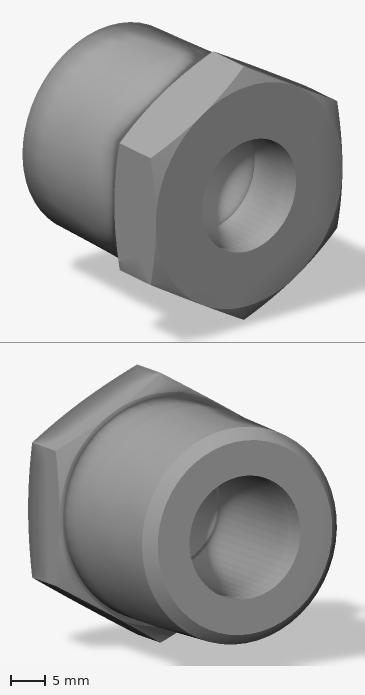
import cadquery as cq
import math

total_length = 34.8
hex_length = 9.8
taper_end = 17.35
nose_length = 1.75
hex_start = total_length - hex_length

nose_radius = 14.5
taper_small_radius = 16.2
body_radius = 16.7

hex_across_corners = 40.35
hex_corner_radius = hex_across_corners / 2
hex_flat_radius = hex_corner_radius * math.cos(math.radians(30))
corner_chamfer_length = 1.25

bore_mouth_radius = 9.25
bore_head_radius = 8.8
bore_step = hex_start


def revolve_about_x(points):
    """Turn a closed (x, radius) outline about the X axis."""
    return cq.Workplane("XZ").polyline(points).close().revolve(360, (0, 0, 0), (1, 0, 0))


def turned_body():
    return revolve_about_x([
        (0, 0),
        (0, nose_radius),
        (nose_length, taper_small_radius),
        (taper_end, body_radius),
        (hex_start, body_radius),
        (hex_start, 0),
    ])


def hex_head():
    prism = (
        cq.Workplane("YZ", origin=(hex_start, 0, 0))
        .polygon(6, hex_across_corners)
        .extrude(hex_length)
        .rotate((0, 0, 0), (1, 0, 0), 90)
    )
    chamfered_blank = revolve_about_x([
        (hex_start, 0),
        (hex_start, hex_flat_radius),
        (hex_start + corner_chamfer_length, hex_corner_radius),
        (total_length - corner_chamfer_length, hex_corner_radius),
        (total_length, hex_flat_radius),
        (total_length, 0),
    ])
    return prism.intersect(chamfered_blank)


def stepped_bore():
    return revolve_about_x([
        (0, 0),
        (0, bore_mouth_radius),
        (bore_step, bore_mouth_radius),
        (bore_step, bore_head_radius),
        (total_length, bore_head_radius),
        (total_length, 0),
    ])


result = turned_body().union(hex_head()).cut(stepped_bore())